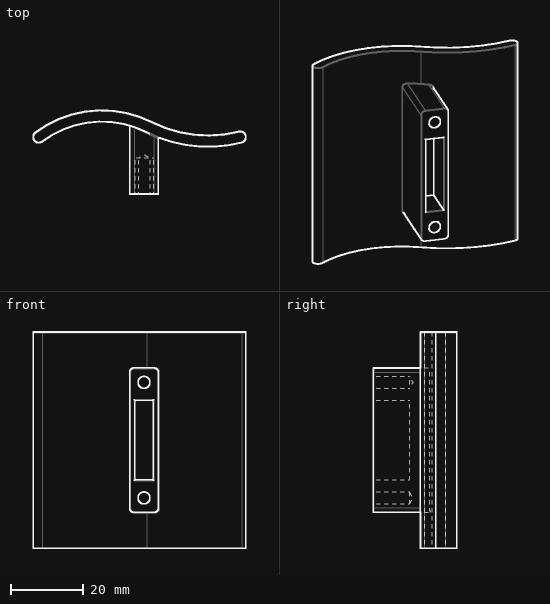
import cadquery as cq
import math

height = 60.0
overall_width = 58.99
overall_depth = 23.25

plate_thickness = 3.2
crest_x = -10.4
crest_radius = 29.1
trough_radius = 36.3
inflection_angle = math.radians(26.7)

post_width = 8.0
post_height = 40.0
post_centre_x = 1.24
post_corner_radius = 1.25
pocket_width = 5.0
pocket_height = 22.0
pocket_depth = 10.0
hole_diameter = 3.3
hole_spacing = 32.0
hole_depth = 10.0
drill_tip_angle = 118.0

edge_radius = 0.2

half_thickness = plate_thickness / 2
end_x = overall_width / 2 - half_thickness
crest_centre = (crest_x, -crest_radius - half_thickness)
centre_distance = crest_radius + trough_radius
trough_centre = (
    crest_centre[0] + centre_distance * math.sin(inflection_angle),
    crest_centre[1] + centre_distance * math.cos(inflection_angle),
)
post_front_y = -overall_depth
left_angle = math.asin((-end_x - crest_centre[0]) / crest_radius)
right_angle = math.asin((end_x - trough_centre[0]) / trough_radius)
crest_middle = (left_angle + inflection_angle) / 2
trough_middle = (right_angle - inflection_angle) / 2


def crest_point(angle, offset):
    """Point on the crest arc, offset outward, at an angle measured from +Y towards +X."""
    radius = crest_radius + offset
    return (crest_centre[0] + radius * math.sin(angle), crest_centre[1] + radius * math.cos(angle))


def trough_point(angle, offset):
    """Point on the trough arc, offset upward, at an angle measured from -Y towards +X."""
    radius = trough_radius - offset
    return (trough_centre[0] + radius * math.sin(angle), trough_centre[1] - radius * math.cos(angle))


def make_plate():
    """S-curved plate of constant thickness with full-round ends, extruded along Z."""
    left_tip = (
        -end_x - half_thickness * math.cos(left_angle),
        crest_point(left_angle, 0)[1] + half_thickness * math.sin(left_angle),
    )
    right_tip = (
        end_x + half_thickness * math.cos(right_angle),
        trough_point(right_angle, 0)[1] + half_thickness * math.sin(right_angle),
    )
    up = half_thickness
    down = -half_thickness
    return (
        cq.Workplane("XY", origin=(0, 0, -height / 2))
        .moveTo(*crest_point(left_angle, up))
        .threePointArc(crest_point(crest_middle, up), crest_point(inflection_angle, up))
        .threePointArc(trough_point(trough_middle, up), trough_point(right_angle, up))
        .threePointArc(right_tip, trough_point(right_angle, down))
        .threePointArc(trough_point(trough_middle, down), trough_point(-inflection_angle, down))
        .threePointArc(crest_point(crest_middle, down), crest_point(left_angle, down))
        .threePointArc(left_tip, crest_point(left_angle, up))
        .close()
        .extrude(height)
    )


def make_space_in_front():
    """Everything from the plate's centreline forward to the free end of the post."""
    return (
        cq.Workplane("XY", origin=(0, 0, -height / 2))
        .moveTo(*crest_point(left_angle, 0))
        .threePointArc(crest_point(crest_middle, 0), crest_point(inflection_angle, 0))
        .threePointArc(trough_point(trough_middle, 0), trough_point(right_angle, 0))
        .lineTo(end_x, post_front_y)
        .lineTo(-end_x, post_front_y)
        .close()
        .extrude(height)
    )


def make_post():
    """Rounded post from its free front face back to the centreline of the plate."""
    bar = (
        cq.Workplane("XZ", origin=(post_centre_x, 0, 0))
        .rect(post_width, post_height)
        .extrude(overall_depth)
        .edges("|Y")
        .fillet(post_corner_radius)
    )
    return bar.intersect(make_space_in_front())


def make_pocket():
    """Blind rectangular pocket in the front face of the post."""
    return (
        cq.Workplane("XZ", origin=(post_centre_x, post_front_y, 0))
        .rect(pocket_width, pocket_height)
        .extrude(-pocket_depth)
    )


def make_screw_hole(z):
    """Blind drilled hole with a conical tip, running back from the front face of the post."""
    radius = hole_diameter / 2
    tip_length = radius / math.tan(math.radians(drill_tip_angle / 2))
    return (
        cq.Workplane("XY", origin=(post_centre_x, post_front_y, z))
        .lineTo(radius, 0)
        .lineTo(radius, hole_depth)
        .lineTo(0, hole_depth + tip_length)
        .close()
        .revolve(360, (0, 0, 0), (0, 1, 0))
    )


def round_front_edges(body):
    """Round the outline of the post's front face and the mouth of the pocket."""
    return body.faces("<Y").edges().fillet(edge_radius)


def round_post_root(body):
    """Fill the corner where the post meets the curved front of the plate."""
    margin = 0.01
    back_seam_y = crest_point(inflection_angle, half_thickness)[1]
    root_zone = cq.selectors.BoxSelector(
        (post_centre_x - post_width / 2 - margin, post_front_y / 2, -post_height / 2 - margin),
        (post_centre_x + post_width / 2 + margin, back_seam_y - margin, post_height / 2 + margin),
    )
    return body.edges(root_zone).edges("not |Y").fillet(edge_radius)


plate = make_plate().faces("|Z").edges().fillet(edge_radius)
body = round_post_root(plate.union(make_post()))
body = round_front_edges(body.cut(make_pocket()))
for hole_z in (-hole_spacing / 2, hole_spacing / 2):
    body = body.cut(make_screw_hole(hole_z))

result = body